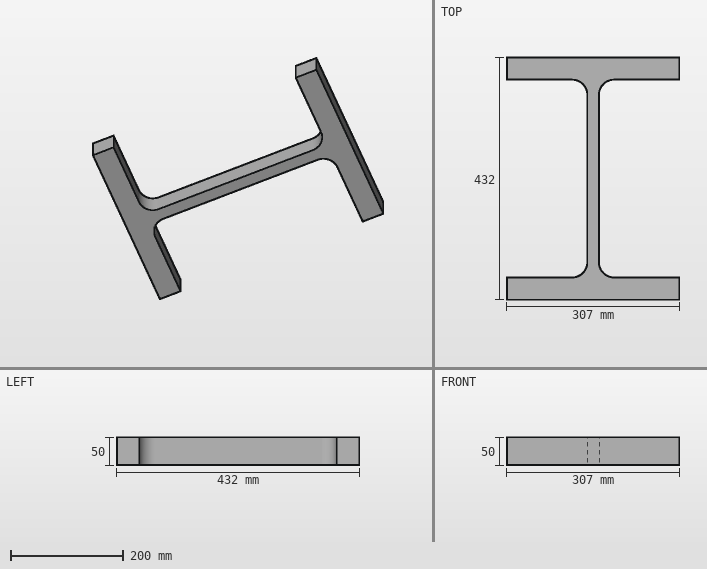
import cadquery as cq

flange_width = 307.0
section_height = 432.0
web_thickness = 21.0
flange_thickness = 40.0
root_radius = 27.0
beam_length = 50.0


def make_flange(side):
    """Flange plate on the +Y (side = 1) or -Y (side = -1) end of the web."""
    center_y = side * (section_height - flange_thickness) / 2
    return (
        cq.Workplane("XY")
        .center(0, center_y)
        .rect(flange_width, flange_thickness)
        .extrude(beam_length)
    )


def make_web():
    """Web plate spanning the clear gap between the flanges."""
    clear_height = section_height - 2 * flange_thickness
    return cq.Workplane("XY").rect(web_thickness, clear_height).extrude(beam_length)


def fillet_roots(beam):
    """Round the four inside corners where the web meets the flanges."""
    root_zone = cq.selectors.BoxSelector(
        (-web_thickness, -section_height / 2 + flange_thickness / 2, 0),
        (web_thickness, section_height / 2 - flange_thickness / 2, beam_length),
    )
    return beam.edges("|Z").edges(root_zone).fillet(root_radius)


beam = make_web()
for side in (-1, 1):
    beam = beam.union(make_flange(side))

result = fillet_roots(beam)